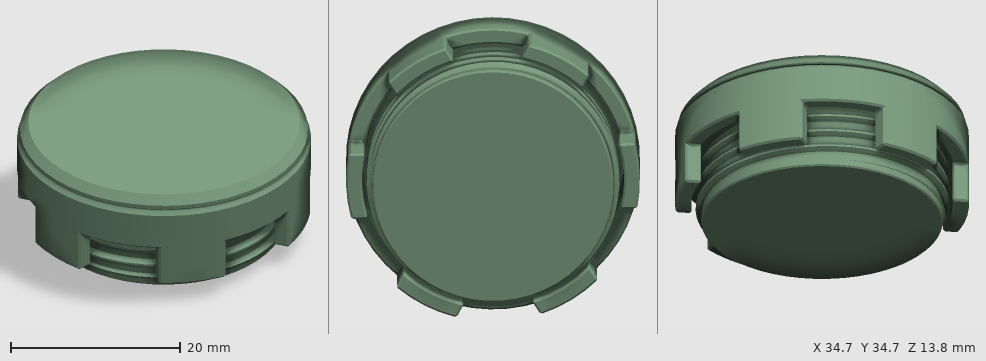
import cadquery as cq
import math

total_height = 13.8
flange_radius = 17.0
flange_bottom = 12.2
flange_top_chamfer = 0.97
flange_bottom_chamfer = 0.15
neck_diameter = 30.0
neck_radius = neck_diameter / 2
neck_bottom = 10.75
core_radius = 14.25
core_bottom_chamfer = 0.17

thread_pitch = 2.0
thread_crest_radius = 14.9
thread_crest_width = 0.25
thread_flank_angle = 30.0
thread_embed = 0.2
thread_crest_z = 1.55
thread_lead_in_z = 0.9
thread_lead_turns = 2
thread_turns = 6

ring_radius = 17.35
ring_bore_radius = 15.45
ring_bottom = 2.05
ring_top = 12.05
ring_top_chamfer = 0.4
lug_count = 6
lug_width = 8.05
lug_bevel = 0.25
notch_ceiling = 7.05
notch_corner_chamfer = 0.2

cut_margin = 0.35
tolerance = 0.005


def revolve_profile(points):
    """Turn a closed (radius, z) outline about the Z axis."""
    return cq.Workplane("XZ").polyline(points).close().revolve(360, (0, 0, 0), (0, 1, 0))


def make_thread():
    """Helical ridge, trimmed at its lower end by a conical lead-in."""
    start_z = thread_crest_z - thread_lead_turns * thread_pitch
    root_radius = core_radius - thread_embed
    depth = thread_crest_radius - root_radius
    half_crest = thread_crest_width / 2
    half_root = half_crest + depth * math.tan(math.radians(thread_flank_angle))
    helix = cq.Wire.makeHelix(
        thread_pitch, thread_turns * thread_pitch, root_radius, cq.Vector(0, 0, start_z)
    )
    ridge = (
        cq.Workplane("XZ")
        .polyline([
            (root_radius, start_z - half_root),
            (thread_crest_radius, start_z - half_crest),
            (thread_crest_radius, start_z + half_crest),
            (root_radius, start_z + half_root),
        ])
        .close()
        .sweep(cq.Workplane(helix), isFrenet=True)
    )
    outer = thread_crest_radius + cut_margin
    envelope = revolve_profile([
        (0, thread_lead_in_z - core_radius),
        (outer, thread_lead_in_z - core_radius + outer),
        (outer, flange_bottom),
        (0, flange_bottom),
    ])
    return ridge.intersect(envelope)


def make_cap():
    """Plug, neck and flange turned in one piece, with the thread added."""
    body = revolve_profile([
        (0, 0),
        (core_radius - core_bottom_chamfer, 0),
        (core_radius, core_bottom_chamfer),
        (core_radius, neck_bottom),
        (neck_radius, neck_bottom),
        (neck_radius, flange_bottom),
        (flange_radius - flange_bottom_chamfer, flange_bottom),
        (flange_radius, flange_bottom + flange_bottom_chamfer),
        (flange_radius, total_height - flange_top_chamfer),
        (flange_radius - flange_top_chamfer, total_height),
        (0, total_height),
    ])
    return body.union(make_thread())


def make_notch_cutter():
    """Disc below the notch ceiling, with a parallel-sided slab left out for each lug."""
    height = notch_ceiling - ring_bottom
    cutter_radius = ring_radius + cut_margin
    disc = cq.Workplane("XY").workplane(offset=ring_bottom).circle(cutter_radius).extrude(height)
    for index in range(lug_count // 2):
        slab = (
            cq.Workplane("XY")
            .workplane(offset=ring_bottom)
            .rect(2 * (cutter_radius + cut_margin), lug_width)
            .extrude(height)
            .rotate((0, 0, 0), (0, 0, 1), index * 360 / lug_count)
        )
        disc = disc.cut(slab)
    return disc


def edge_radius(point):
    """Distance of an edge's end point from the Z axis."""
    return math.hypot(point.x, point.y)


def is_castellation_edge(edge):
    """True for every castellation edge except the concave ones in the notch corners."""
    is_low = edge.Center().z < notch_ceiling + lug_bevel
    return is_low and not is_notch_corner(edge)


def is_notch_corner(edge):
    """True for a concave edge where a lug side meets the notch ceiling."""
    start = edge.startPoint()
    end = edge.endPoint()
    at_ceiling = all(abs(point.z - notch_ceiling) < tolerance for point in (start, end))
    crosses_wall = abs(edge_radius(start) - edge_radius(end)) > lug_bevel
    return at_ceiling and crosses_wall


def make_ring():
    """Ring with lugs below it, bevelled along the castellations, inside and out."""
    ring = revolve_profile([
        (ring_bore_radius, ring_bottom),
        (ring_radius, ring_bottom),
        (ring_radius, ring_top - ring_top_chamfer),
        (ring_radius - ring_top_chamfer, ring_top),
        (ring_bore_radius, ring_top),
    ])
    ring = ring.cut(make_notch_cutter())
    beveled = ring.edges().filter(is_castellation_edge).chamfer(lug_bevel)
    return beveled.edges().filter(is_notch_corner).chamfer(notch_corner_chamfer)


cap = make_cap()
ring = make_ring()
result = cq.Compound.makeCompound([cap.solids().val(), ring.solids().val()])